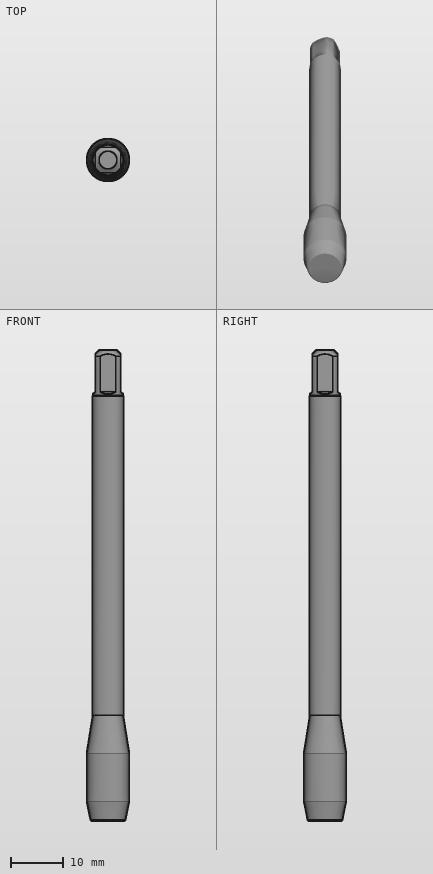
import cadquery as cq

total_length = 90.1
lead_height = 3.8
neck_start = 13.0
joint_height = 20.3
shank_top = 81.3
flats_bottom = 82.1

head_diameter = 8.2
head_tip_diameter = 6.8
neck_diameter = 5.9
shank_diameter = 6.0
drive_diameter = 5.8
drive_across_flats = 5.0
drive_end_diameter = 3.4

tip_bevel = 0.3
shoulder_bevel = (shank_diameter - drive_diameter) / 2
drive_bevel = (drive_diameter - drive_end_diameter) / 2


def revolve_profile(points):
    """Spin an outline of (radius, height) points around the Z axis."""
    return cq.Workplane("XZ").polyline(points).close().revolve(360, (0, 0), (0, 1))


def make_head():
    """Thick working end: tapered lead, cylinder and conical neck."""
    tip_radius = head_tip_diameter / 2
    return revolve_profile([
        (0, 0),
        (tip_radius - tip_bevel, 0),
        (tip_radius, tip_bevel),
        (head_diameter / 2, lead_height),
        (head_diameter / 2, neck_start),
        (neck_diameter / 2, joint_height),
        (0, joint_height),
    ])


def make_shank():
    """Round shank with a square drive that has rounded corners."""
    body = revolve_profile([
        (0, joint_height),
        (shank_diameter / 2, joint_height),
        (shank_diameter / 2, shank_top),
        (drive_diameter / 2, shank_top + shoulder_bevel),
        (drive_diameter / 2, total_length - drive_bevel),
        (drive_end_diameter / 2, total_length),
        (0, total_length),
    ])
    return body.cut(make_flats_cutter())


def make_flats_cutter():
    """Four side cuts that form the square drive; each flat runs out at its foot in a 45 degree ramp."""
    half_flats = drive_across_flats / 2
    ramp_rise = flats_bottom - shank_top
    flat_section = [
        (half_flats, flats_bottom),
        (half_flats + ramp_rise, shank_top),
        (head_diameter, shank_top),
        (head_diameter, total_length),
        (half_flats, total_length),
    ]
    side_cut = cq.Workplane("XZ").polyline(flat_section).close().extrude(head_diameter / 2, both=True)
    cutter = cq.Workplane("XY")
    for side in range(4):
        cutter = cutter.add(side_cut.rotate((0, 0, 0), (0, 0, 1), 90 * side))
    return cutter.combine()


head = make_head()
shank = make_shank()

result = cq.Compound.makeCompound([head.val(), shank.val()])